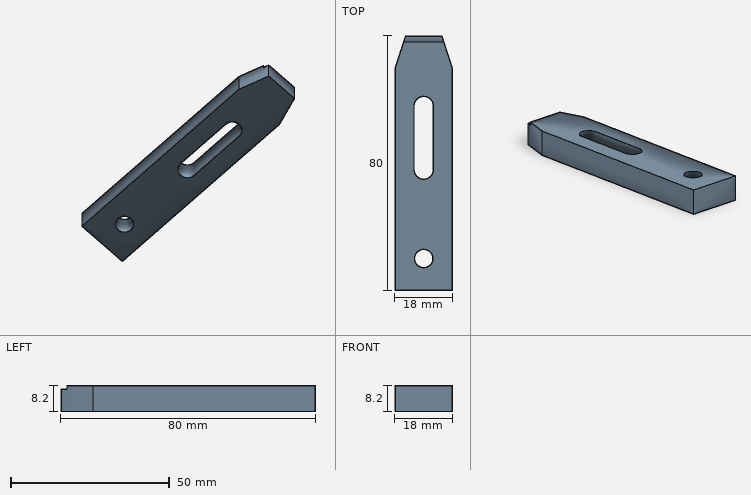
import cadquery as cq
import math

length = 80.0
width = 18.0
thickness = 8.2

taper_length = 10.0
taper_angle = 18.0
nose_width = width - 2 * taper_length * math.tan(math.radians(taper_angle))

step_length = 1.8
step_depth = 1.1

hole_diameter = 5.7
hole_distance = 10.0
slot_width = 6.0
slot_length = 26.0
slot_center_distance = 48.0


def tapered_bar():
    """Flat bar, centred on X, narrowing symmetrically to the nose."""
    half_width = width / 2
    half_nose = nose_width / 2
    shoulder = length - taper_length
    return (
        cq.Workplane("XY")
        .moveTo(-half_width, 0)
        .lineTo(half_width, 0)
        .lineTo(half_width, shoulder)
        .lineTo(half_nose, length)
        .lineTo(-half_nose, length)
        .lineTo(-half_width, shoulder)
        .close()
        .extrude(thickness)
    )


def nose_step():
    """Block removed from the top edge of the nose."""
    return (
        cq.Workplane("XY")
        .box(width, step_length, step_depth, centered=(True, False, False))
        .translate((0, length - step_length, thickness - step_depth))
    )


def clamping_slot():
    """Round-ended slot along Y, through the full thickness."""
    return (
        cq.Workplane("XY")
        .center(0, slot_center_distance)
        .slot2D(slot_length, slot_width, angle=90)
        .extrude(thickness)
    )


def rear_hole():
    """Plain round hole through the full thickness."""
    return (
        cq.Workplane("XY")
        .center(0, hole_distance)
        .circle(hole_diameter / 2)
        .extrude(thickness)
    )


result = tapered_bar().cut(nose_step()).cut(clamping_slot()).cut(rear_hole())